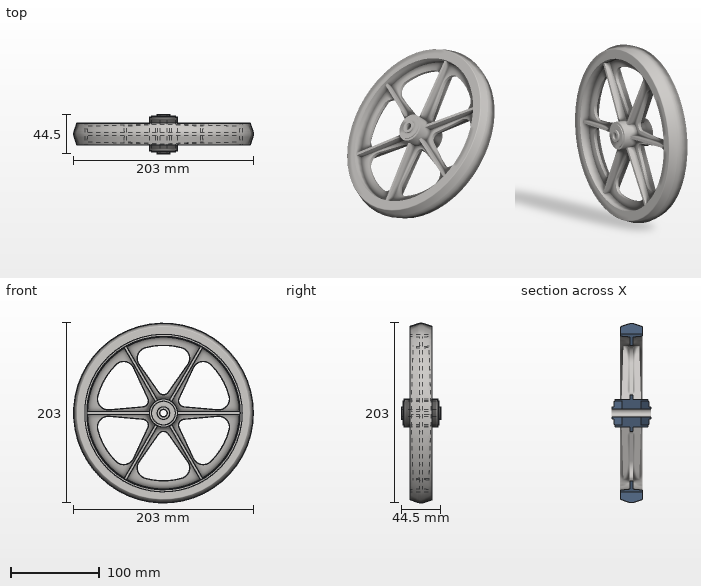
import cadquery as cq
import math


tyre_radius = 101.5
half_width = 12.5
crown_round = 10.2
shoulder_angle = 19.0
tyre_edge_fillet = 1.0

rim_outer_radius = 89.0
rim_inner_radius = 86.8
rim_draft = 1.0
web_half_thickness = 1.8
hub_radius = 15.8
hub_half_length = 19.0

spoke_count = 6
rib_thickness = 3.0
rib_hub_height = 11.0
rib_rim_height = 9.0
window_outer_radius = 76.5
window_half_angle = 35.0
window_inner_fillet = 6.7
window_outer_fillet = 12.2

bearing_radius = 13.5
bearing_half_span = 20.22
collar_radius = 7.1
collar_half_span = 22.25
bearing_seat_depth = 8.1
bore_radius = 4.0

spoke_step = 360.0 / spoke_count
seat_floor = hub_half_length - bearing_seat_depth


def turned_about_y(profile):
    """Revolve a profile drawn in the XY plane, with X as the radius."""
    return profile.close().revolve(360, (0, 0, 0), (0, 1, 0))


def cylinder_about_y(radius, start, end):
    """Cylinder along Y between two Y positions."""
    return cq.Workplane("XZ", origin=(0, end, 0)).circle(radius).extrude(end - start)


def make_tyre():
    slope = math.radians(shoulder_angle)
    crown_centre = tyre_radius - crown_round
    crown_end = (crown_centre + crown_round * math.cos(slope), crown_round * math.sin(slope))
    edge_radius = crown_end[0] - (half_width - crown_end[1]) * math.tan(slope)
    profile = (
        cq.Workplane("XY")
        .moveTo(rim_outer_radius, -half_width)
        .lineTo(edge_radius, -half_width)
        .lineTo(crown_end[0], -crown_end[1])
        .threePointArc((tyre_radius, 0), crown_end)
        .lineTo(edge_radius, half_width)
        .lineTo(rim_outer_radius, half_width)
    )
    outer_edges = cq.selectors.RadiusNthSelector(1)
    tyre = turned_about_y(profile)
    for side in ("<Y", ">Y"):
        tyre = tyre.faces(side).edges(outer_edges).fillet(tyre_edge_fillet)
    return tyre


def make_wheel_disc():
    """Rim, web and hub in one turned piece."""
    web_outer_radius = rim_inner_radius - rim_draft
    return turned_about_y(
        cq.Workplane("XY")
        .moveTo(0, -hub_half_length)
        .lineTo(hub_radius, -hub_half_length)
        .lineTo(hub_radius, -web_half_thickness)
        .lineTo(web_outer_radius, -web_half_thickness)
        .lineTo(rim_inner_radius, -half_width)
        .lineTo(rim_outer_radius, -half_width)
        .lineTo(rim_outer_radius, half_width)
        .lineTo(rim_inner_radius, half_width)
        .lineTo(web_outer_radius, web_half_thickness)
        .lineTo(hub_radius, web_half_thickness)
        .lineTo(hub_radius, hub_half_length)
        .lineTo(0, hub_half_length)
    )


def make_rib():
    """Rib along +X on both sides of the web, tapering from the axis to the rim."""
    taper = (rib_hub_height - rib_rim_height) / (rim_inner_radius - hub_radius)
    axis_height = rib_hub_height + taper * hub_radius
    return (
        cq.Workplane("XY")
        .moveTo(0, -axis_height)
        .lineTo(rim_inner_radius, -rib_rim_height)
        .lineTo(rim_inner_radius, rib_rim_height)
        .lineTo(0, axis_height)
        .close()
        .extrude(rib_thickness / 2, both=True)
    )


def make_window():
    """Rounded sector around +Z, with its sharp corner on the hub surface before rounding."""
    side_reach = window_outer_radius * math.tan(math.radians(window_half_angle))
    sector = (
        cq.Workplane("XZ")
        .moveTo(0, hub_radius)
        .lineTo(side_reach, hub_radius + window_outer_radius)
        .lineTo(-side_reach, hub_radius + window_outer_radius)
        .close()
        .extrude(half_width, both=True)
        .intersect(cylinder_about_y(window_outer_radius, -half_width, half_width))
    )
    sector = sector.edges("|Y and <Z").fillet(window_inner_fillet)
    return sector.edges("|Y and (<X or >X)").fillet(window_outer_fillet)


def make_wheel():
    wheel = make_wheel_disc()
    rib = make_rib()
    window = make_window()
    for spoke in range(spoke_count):
        angle = spoke * spoke_step
        wheel = wheel.union(rib.rotate((0, 0, 0), (0, 1, 0), angle))
        wheel = wheel.cut(window.rotate((0, 0, 0), (0, 1, 0), angle))
    wheel = wheel.cut(cylinder_about_y(bore_radius, -hub_half_length, hub_half_length))
    wheel = wheel.cut(cylinder_about_y(bearing_radius, seat_floor, hub_half_length))
    return wheel.cut(cylinder_about_y(bearing_radius, -hub_half_length, -seat_floor))


def make_bearing(side):
    """Bearing with a collar on its outer face, at the hub end given by side: 1 is +Y, -1 is -Y."""
    return turned_about_y(
        cq.Workplane("XY")
        .moveTo(bore_radius, side * seat_floor)
        .lineTo(bearing_radius, side * seat_floor)
        .lineTo(bearing_radius, side * bearing_half_span)
        .lineTo(collar_radius, side * bearing_half_span)
        .lineTo(collar_radius, side * collar_half_span)
        .lineTo(bore_radius, side * collar_half_span)
    )


tyre = make_tyre()
wheel = make_wheel()
bearings = [make_bearing(side) for side in (-1, 1)]

result = cq.Compound.makeCompound([tyre.val(), wheel.val(), *[bearing.val() for bearing in bearings]])